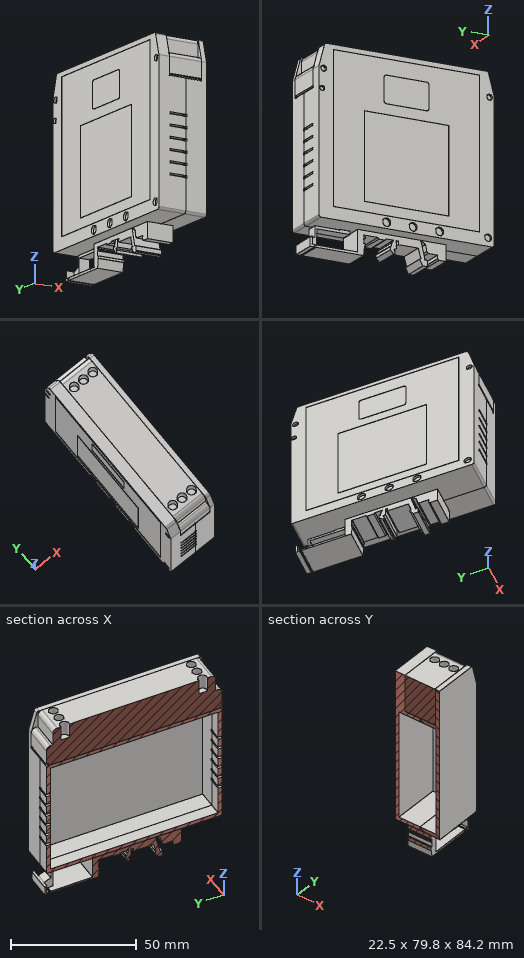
import cadquery as cq


WIDTH = 22.5
DEPTH = 79.1
HEIGHT = 73.55
TOTAL_HEIGHT = 84.15
SEAM_X = 12.6
SHOULDER_Z = 63.6
TOP_DEPTH = 73.7
EDGE_RADIUS = 1.0
WALL = 2.0
HALF_DEPTH = DEPTH / 2

CAP_START_X = 5.05
CAP_END_X = 20.1
CAP_BOTTOM_Z = 55.8
CAP_RADIUS = 2.0
CAP_STEP_Z = 65.6
CAP_UPPER_DEPTH = 73.2
CAP_GAP_HEIGHT = 0.8
CAP_GAP_DEPTH = 1.0
SCREW_HOLE_DIAMETER = 3.9
SCREW_HOLE_DEPTH = 6.7
SCREW_HOLE_PITCH = 4.8
SCREW_CENTER_X = 12.8
SCREW_ROW_Y = 31.0

SLIT_COUNT = 6
SLIT_PITCH = 5.05
SLIT_LOWEST_Z = 15.15
SLIT_HEIGHT = 0.8
SLIT_START_X = 5.4
SLIT_END_X = 13.1

PANEL_SIZE = 65.9
PANEL_Z = 38.4
PANEL_SINK = 0.1
LABEL_SIZE = 38.0
LABEL_Z = 28.9
WINDOW_DEPTH = 20.2
WINDOW_HEIGHT = 12.0
WINDOW_Z = 58.5
WINDOW_RADIUS = 1.0
WINDOW_SINK = 0.2

POCKET_SINK = 1.0
UPPER_POCKETS = [(37.45, 62.8, 2.4), (-37.45, 62.8, 2.4)]
SIDE_POCKET = (38.0, 54.4, 2.1)
CORNER_POCKET = (-36.8, 3.6, 3.0)
LOWER_POCKET_PITCH = 11.95
LOWER_POCKETS = [(-2.95 + i * LOWER_POCKET_PITCH, 2.7, 3.5) for i in (-1, 0, 1)]

FOOT_START_X = 6.2
FOOT_WIDTH = 12.0
FOOT_BOTTOM_Z = HEIGHT - TOTAL_HEIGHT
RIB_WIDTH = 5.05
FOOT_STRIP_TOP_Z = -9.5
RAIL_CEILING_Z = -1.9
LIP_OUTER_Y = 40.2


def box(x_range, y_range, z_range):
    """Box between the given limits along each axis."""
    sizes = [high - low for low, high in (x_range, y_range, z_range)]
    return cq.Workplane("XY").box(*sizes, centered=False).translate((x_range[0], y_range[0], z_range[0]))


def plate(start_x, thickness, points):
    """Closed outline of (y, z) points extruded along X."""
    return cq.Workplane("YZ", origin=(start_x, 0, 0)).polyline(points).close().extrude(thickness)


def label_face():
    """Workplane on the outer face of the label side, with local axes Y and Z."""
    return cq.Workplane("YZ")


def vent_slits():
    slits = cq.Workplane("XY")
    for i in range(SLIT_COUNT):
        middle_z = SLIT_LOWEST_Z + i * SLIT_PITCH
        z_range = (middle_z - SLIT_HEIGHT / 2, middle_z + SLIT_HEIGHT / 2)
        slits = slits.add(box((SLIT_START_X, SLIT_END_X), (-HALF_DEPTH, HALF_DEPTH), z_range))
    return slits.combine()


def make_housing():
    """Complete hollow housing, before it is parted at the seam."""
    outline = [
        (-HALF_DEPTH, 0),
        (HALF_DEPTH, 0),
        (HALF_DEPTH, SHOULDER_Z),
        (TOP_DEPTH / 2, HEIGHT),
        (-TOP_DEPTH / 2, HEIGHT),
        (-HALF_DEPTH, SHOULDER_Z),
    ]
    housing = plate(0, WIDTH, outline)
    housing = housing.faces("<Z or >Z").edges("|X").fillet(EDGE_RADIUS)
    inner_y = HALF_DEPTH - WALL
    cavity = box((WALL, WIDTH - WALL), (-inner_y, inner_y), (WALL, CAP_BOTTOM_Z - WALL))
    cap_seat = box((CAP_START_X, CAP_END_X), (-HALF_DEPTH, HALF_DEPTH), (CAP_BOTTOM_Z, HEIGHT))
    return housing.cut(cavity).cut(cap_seat).cut(vent_slits())


def cut_label_side(shell):
    """Sink the panel, the window and the round pockets into the outer face."""
    panel = label_face().center(0, PANEL_Z).rect(PANEL_SIZE, PANEL_SIZE).extrude(PANEL_SINK)
    window = label_face().center(0, WINDOW_Z).rect(WINDOW_DEPTH, WINDOW_HEIGHT).extrude(WINDOW_SINK)
    shell = shell.cut(panel).cut(window.edges("|X").fillet(WINDOW_RADIUS))
    for y, z, diameter in [*UPPER_POCKETS, SIDE_POCKET, CORNER_POCKET, *LOWER_POCKETS]:
        shell = shell.cut(label_face().center(y, z).circle(diameter / 2).extrude(POCKET_SINK))
    return shell


def make_shells():
    """The label side shell and the opposite shell."""
    housing = make_housing()
    y_range = (-HALF_DEPTH, HALF_DEPTH)
    z_range = (0, HEIGHT)
    label_shell = housing.intersect(box((0, SEAM_X), y_range, z_range))
    plain_shell = housing.intersect(box((SEAM_X, WIDTH), y_range, z_range))
    return cut_label_side(label_shell), plain_shell


def make_label():
    """Thin square plate lying on the panel floor, flush with the housing face."""
    return label_face().center(0, LABEL_Z).rect(LABEL_SIZE, LABEL_SIZE).extrude(PANEL_SINK)


def make_cap():
    x_range = (CAP_START_X, CAP_END_X)
    upper_y = CAP_UPPER_DEPTH / 2
    lower = box(x_range, (-HALF_DEPTH, HALF_DEPTH), (CAP_BOTTOM_Z, CAP_STEP_Z))
    upper = box(x_range, (-upper_y, upper_y), (CAP_BOTTOM_Z, HEIGHT))
    cap = lower.faces(">Z").edges("|X").fillet(CAP_RADIUS)
    cap = cap.union(upper.faces(">Z").edges("|X").fillet(CAP_RADIUS))
    gap_z = (CAP_BOTTOM_Z, CAP_BOTTOM_Z + CAP_GAP_HEIGHT)
    gap_y = HALF_DEPTH - CAP_GAP_DEPTH
    cap = cap.cut(box(x_range, (gap_y, HALF_DEPTH), gap_z))
    cap = cap.cut(box(x_range, (-HALF_DEPTH, -gap_y), gap_z))
    for row_y in (-SCREW_ROW_Y, SCREW_ROW_Y):
        for i in (-1, 0, 1):
            place = (SCREW_CENTER_X + i * SCREW_HOLE_PITCH, row_y, HEIGHT)
            hole = cq.Workplane("XY", origin=place).circle(SCREW_HOLE_DIAMETER / 2)
            cap = cap.cut(hole.extrude(-SCREW_HOLE_DEPTH))
    return cap


def foot_frame():
    """Full width part of the foot: release strip, rail hook, latch, spring leaf and end block."""
    outline = [
        (18.8, 0),
        (18.8, FOOT_STRIP_TOP_Z),
        (37.5, FOOT_STRIP_TOP_Z),
        (37.5, FOOT_BOTTOM_Z),
        (16.0, FOOT_BOTTOM_Z),
        (15.6, -6.65),
        (15.3, -6.65),
        (15.3, -5.6),
        (16.0, -5.5),
        (16.0, -3.45),
        (15.3, -3.3),
        (15.3, -2.7),
        (16.0, -2.6),
        (16.0, RAIL_CEILING_Z),
        (9.6, RAIL_CEILING_Z),
        (9.2, -2.5),
        (6.2, -2.5),
        (5.7, RAIL_CEILING_Z),
        (2.5, RAIL_CEILING_Z),
        (3.3, -3.1),
        (3.5, -4.5),
        (4.0, -4.6),
        (4.0, -6.15),
        (2.4, -7.7),
        (1.9, -7.6),
        (1.9, -6.4),
        (2.3, -5.7),
        (1.3, -5.3),
        (1.3, RAIL_CEILING_Z),
        (0.4, RAIL_CEILING_Z),
        (0.4, -3.45),
        (-8.6, -3.45),
        (-9.8, -7.6),
        (-9.2, -8.0),
        (-10.7, FOOT_BOTTOM_Z),
        (-13.0, FOOT_BOTTOM_Z),
        (-13.5, -10.2),
        (-12.8, -10.2),
        (-12.8, -8.0),
        (-11.6, -7.7),
        (-9.8, -0.25),
        (-10.2, -0.25),
        (-11.9, -1.4),
        (-12.45, -4.2),
        (-13.1, -5.0),
        (-17.3, -5.0),
        (-17.3, -6.5),
        (-17.9, -7.1),
        (-21.2, -7.1),
        (-21.2, 0),
    ]
    return plate(FOOT_START_X, FOOT_WIDTH, outline)


def foot_lip():
    """Full width L-shaped finger lip at the end of the foot."""
    outline = [
        (LIP_OUTER_Y, FOOT_BOTTOM_Z),
        (LIP_OUTER_Y, -6.5),
        (39.2, -6.15),
        (39.2, FOOT_STRIP_TOP_Z),
        (38.2, FOOT_STRIP_TOP_Z),
        (38.2, FOOT_BOTTOM_Z),
    ]
    return plate(FOOT_START_X, FOOT_WIDTH, outline)


def foot_arm():
    """Narrow spring arm that joins the lip and the strip and rests against the housing."""
    outline = [
        (39.2, FOOT_STRIP_TOP_Z),
        (39.2, -6.15),
        (36.2, -5.0),
        (36.2, -0.25),
        (24.9, -0.25),
        (24.9, 0),
        (20.4, 0),
        (20.4, -1.4),
        (35.3, -1.4),
        (35.3, FOOT_STRIP_TOP_Z),
    ]
    return plate(FOOT_START_X + (FOOT_WIDTH - RIB_WIDTH) / 2, RIB_WIDTH, outline)


def make_foot():
    return foot_frame().union(foot_arm()).union(foot_lip())


label_shell, plain_shell = make_shells()
terminal_cap = make_cap()
label = make_label()
rail_foot = make_foot()

result = cq.Compound.makeCompound([
    label_shell.solids().val(),
    plain_shell.solids().val(),
    terminal_cap.solids().val(),
    label.solids().val(),
    rail_foot.solids().val(),
])